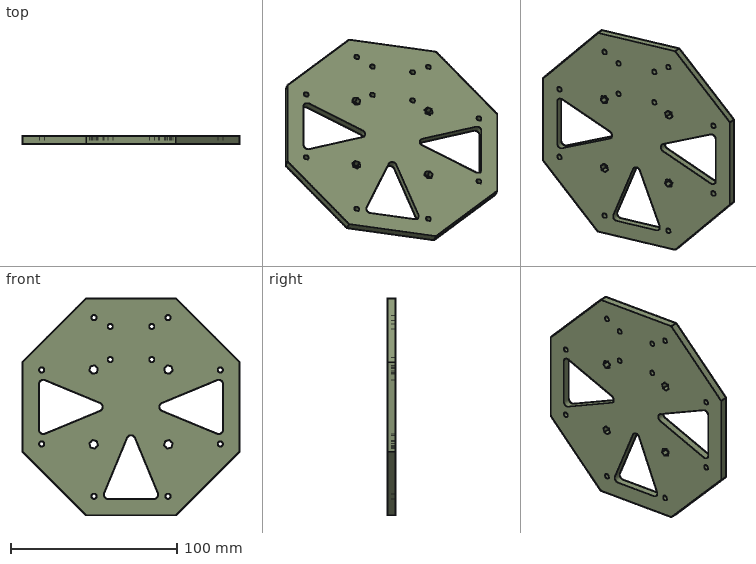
import cadquery as cq
import math

ACROSS_FLATS = 130.71
THICKNESS = 5.0
SIDE_COUNT = 8
HALF_SECTOR = math.radians(180 / SIDE_COUNT)
FLAT_DISTANCE = ACROSS_FLATS / 2
CORNER_RADIUS = FLAT_DISTANCE / math.cos(HALF_SECTOR)

RIM_WIDTH = 10.0
SPOKE_HALF_WIDTH = 5.0
WINDOW_FILLET = 2.5
WINDOW_DIRECTIONS = (0, 180, 270)

CORNER_HOLE_DIAMETER = 3.0
CORNER_HOLE_INSET = 12.5

HEX_SIDE_COUNT = 6
HEX_ACROSS_FLATS = 4.5
HEX_ACROSS_CORNERS = HEX_ACROSS_FLATS / math.cos(math.pi / HEX_SIDE_COUNT)
HEX_SPACING = 45.0

UPPER_HOLE_DIAMETER = 3.0
UPPER_HOLE_SPACING_X = 25.0
UPPER_HOLE_SPACING_Z = 20.0
UPPER_PATTERN_Z = 38.5


def front_plane():
    """Workplane on the plate's -Y face, with local axes along X and Z."""
    return cq.Workplane("XZ")


def corner_points(radius):
    """Points at the given radius, on the rays from the centre to the plate corners."""
    angles = [(2 * i + 1) * HALF_SECTOR for i in range(SIDE_COUNT)]
    return [(radius * math.cos(a), radius * math.sin(a)) for a in angles]


def make_plate():
    return front_plane().polyline(corner_points(CORNER_RADIUS)).close().extrude(-THICKNESS)


def turn_about_centre(body, angle):
    """Turn a body about the plate axis, from +X towards +Z, by an angle in degrees."""
    return body.rotate((0, 0, 0), (0, 1, 0), -angle)


def make_window(direction):
    """Cutter for one window: its apex points at the centre and its base runs along the rim."""
    apex = SPOKE_HALF_WIDTH / math.sin(HALF_SECTOR)
    base = FLAT_DISTANCE - RIM_WIDTH
    half_base = (base - apex) * math.tan(HALF_SECTOR)
    outline = [(apex, 0), (base, -half_base), (base, half_base)]
    window = front_plane().polyline(outline).close().extrude(-THICKNESS)
    window = window.edges("|Y").fillet(WINDOW_FILLET)
    return turn_about_centre(window, direction)


def make_holes(points, diameter):
    """Cutter for a set of round through holes."""
    return front_plane().pushPoints(points).circle(diameter / 2).extrude(-THICKNESS)


def make_hex_hole(centre_x, centre_z):
    """Cutter for one hexagonal through hole with a corner on the ray from the plate centre."""
    angle = math.degrees(math.atan2(centre_z, centre_x))
    distance = math.hypot(centre_x, centre_z)
    hexagon = front_plane().center(distance, 0).polygon(HEX_SIDE_COUNT, HEX_ACROSS_CORNERS)
    return turn_about_centre(hexagon.extrude(-THICKNESS), angle)


def rectangle_points(spacing_x, spacing_z, centre_z=0.0):
    """Corners of a rectangle centred on X = 0."""
    return [
        (side_x * spacing_x / 2, centre_z + side_z * spacing_z / 2)
        for side_x in (-1, 1)
        for side_z in (-1, 1)
    ]


corner_holes = corner_points(CORNER_RADIUS - CORNER_HOLE_INSET)
hex_holes = rectangle_points(HEX_SPACING, HEX_SPACING)
upper_holes = rectangle_points(UPPER_HOLE_SPACING_X, UPPER_HOLE_SPACING_Z, UPPER_PATTERN_Z)

result = make_plate()
for window_direction in WINDOW_DIRECTIONS:
    result = result.cut(make_window(window_direction))
result = result.cut(make_holes(corner_holes, CORNER_HOLE_DIAMETER))
result = result.cut(make_holes(upper_holes, UPPER_HOLE_DIAMETER))
for hex_x, hex_z in hex_holes:
    result = result.cut(make_hex_hole(hex_x, hex_z))